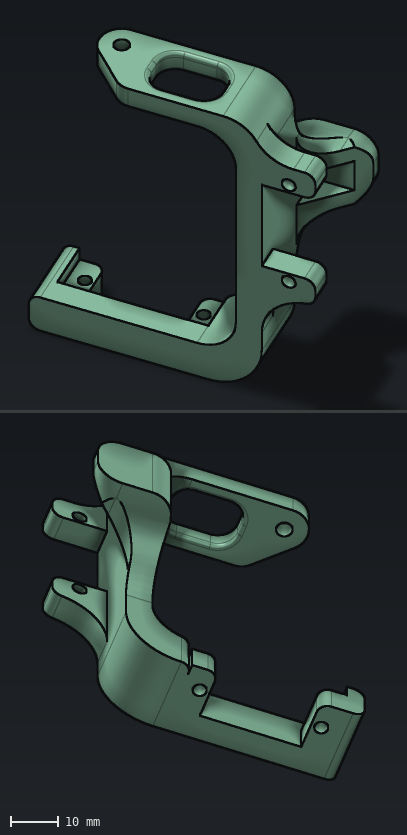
import cadquery as cq
import math

total_x = 66.4
total_y = 33.9
total_z = 76.1

wall = 6.0
wall_outer_x = 54.0
wall_inner_x = wall_outer_x - wall
frame_depth = 17.6
arm_height = 9.5
plate_thickness = 5.0
inner_radius = 9.0
lower_outer_radius = 12.55
upper_outer_radius = 9.0
plate_bottom_z = total_z - plate_thickness
bend_start_x = wall_inner_x - inner_radius

tab_round = 2.5
tab_hole_diameter = 3.2
tab_hole_x = 60.3
upper_tab_top = 66.75
upper_tab_bottom = 59.75
upper_tab_blend_radius = 10.0
upper_tab_hole_z = 61.9
lower_tab_top = 36.7
lower_tab_hole_z = 34.4
lower_tab_radius = 12.0
lower_tab_arc_z = 17.65

plate_end_radius = 5.25
plate_hole_diameter = 3.5
plate_hole_x = 16.2
nose_y = frame_depth - plate_end_radius
plate_corner_round = 4.7
window_x = 33.4
window_y = 8.9
window_length = 16.6
window_width = 11.5
window_corner = 4.4
window_round = 1.1

arm_depth = wall
arm_end_round = 2.7
lip_depth = 17.9
lip_length = 4.0
pad_length = 6.0
pad_height = 6.3
pad_round = 2.4
pad_hole_diameter = 3.0
pad_hole_y = 12.1
pad_hole_inset = 2.3

flange_mid_z = 43.0
flange_half_height = 7.6
flange_round = 5.6
clearance_round = 7.0
flange_arc_radius = total_y - frame_depth
bevel_offset = 35.55
clearance_half_height = 8.1
recess_height = 8.2


def block(x0, x1, y0, y1, z0, z1):
    return cq.Workplane("XY").box(x1 - x0, y1 - y0, z1 - z0, centered=False).translate((x0, y0, z0))


def extrude_back(profile, depth):
    """Extrude an XZ profile from y = 0 towards +Y."""
    return profile.extrude(-depth)


def make_frame():
    """Upright with its two bends and the top plate, at full frame depth."""
    outer = (
        block(bend_start_x, wall_outer_x, 0, frame_depth, 0, total_z)
        .edges("|Y and >X and <Z").fillet(lower_outer_radius)
        .edges("|Y and >X and >Z").fillet(upper_outer_radius)
    )
    opening = (
        block(0, wall_inner_x, 0, frame_depth, arm_height, plate_bottom_z)
        .edges("|Y and >X").fillet(inner_radius)
    )
    return outer.cut(opening).edges("|Z and <X and >Y").edges("<Z").fillet(pad_round)


def make_top_plate():
    """Pointed plate: a round nose, a 45 degree side and a rounded front corner."""
    reach = plate_end_radius * math.sqrt(0.5)
    front_corner_x = plate_hole_x + nose_y - plate_end_radius * math.sqrt(2)
    plate = (
        cq.Workplane("XY", origin=(0, 0, plate_bottom_z))
        .moveTo(plate_hole_x, frame_depth)
        .radiusArc((plate_hole_x - reach, nose_y - reach), -plate_end_radius)
        .lineTo(front_corner_x, 0)
        .lineTo(bend_start_x, 0)
        .lineTo(bend_start_x, frame_depth)
        .close()
        .extrude(plate_thickness)
    )
    plate_mid_z = plate_bottom_z + plate_thickness / 2
    front_corner = cq.selectors.NearestToPointSelector((front_corner_x, 0, plate_mid_z))
    return plate.edges(front_corner).fillet(plate_corner_round)


def cut_plate_openings(body):
    hole = (
        cq.Workplane("XY", origin=(plate_hole_x, nose_y, plate_bottom_z))
        .circle(plate_hole_diameter / 2).extrude(plate_thickness)
    )
    window = (
        block(-window_length / 2, window_length / 2, -window_width / 2, window_width / 2,
              total_z - 2 * plate_thickness, total_z)
        .edges("|Z").fillet(window_corner)
        .translate((window_x, window_y, 0))
    )
    body = body.cut(hole).cut(window)
    half_length = window_length / 2 + window_round / 2
    half_width = window_width / 2 + window_round / 2
    window_region = cq.selectors.BoxSelector(
        (window_x - half_length, window_y - half_width, plate_bottom_z - plate_thickness),
        (window_x + half_length, window_y + half_width, total_z + plate_thickness),
    )
    return body.edges(window_region).edges("not(|Z)").fillet(window_round)


def make_upper_tab():
    """Tab whose top blends into the upper bend by a tangent concave arc."""
    bend_x = wall_outer_x - upper_outer_radius
    bend_z = total_z - upper_outer_radius
    blend_z = upper_tab_top + upper_tab_blend_radius
    centre_gap = upper_outer_radius + upper_tab_blend_radius
    blend_x = bend_x + math.sqrt(centre_gap**2 - (blend_z - bend_z) ** 2)
    bend_share = upper_outer_radius / centre_gap
    tangent_point = (bend_x + bend_share * (blend_x - bend_x), bend_z + bend_share * (blend_z - bend_z))
    profile = (
        cq.Workplane("XZ")
        .moveTo(*tangent_point)
        .radiusArc((blend_x, upper_tab_top), -upper_tab_blend_radius)
        .lineTo(total_x, upper_tab_top)
        .lineTo(total_x, upper_tab_bottom)
        .lineTo(wall_outer_x - wall / 2, upper_tab_bottom)
        .close()
    )
    return extrude_back(profile, wall).edges("|Y and >X").fillet(tab_round)


def make_lower_tab():
    """Tab carried by a large concave arc that starts tangent to the upright."""
    arc_x = wall_outer_x + lower_tab_radius
    arc_top = lower_tab_arc_z + lower_tab_radius
    profile = (
        cq.Workplane("XZ")
        .moveTo(wall_outer_x, lower_tab_arc_z)
        .radiusArc((arc_x, arc_top), lower_tab_radius)
        .lineTo(total_x, arc_top)
        .lineTo(total_x, lower_tab_top)
        .lineTo(wall_inner_x, lower_tab_top)
        .lineTo(wall_inner_x, lower_tab_arc_z)
        .close()
    )
    return extrude_back(profile, wall).edges("|Y and >X").fillet(tab_round)


def make_pad(x, depth, rounded_side):
    """Screw pad behind the arm, with one rounded rear corner and a vertical hole."""
    hole_x = x + (pad_length - pad_hole_inset if rounded_side == ">X" else pad_hole_inset)
    hole = (
        cq.Workplane("XY", origin=(hole_x, pad_hole_y, 0))
        .circle(pad_hole_diameter / 2).extrude(pad_height)
    )
    pad = block(x, x + pad_length, 0, depth, 0, pad_height)
    return pad.edges("|Z and >Y").edges(rounded_side).fillet(pad_round).cut(hole)


def make_lower_arm():
    arm = block(0, bend_start_x, 0, arm_depth, 0, arm_height)
    lip = block(0, lip_length, 0, lip_depth, 0, arm_height)
    arm = arm.union(lip).edges("|Y and <X").fillet(arm_end_round)
    arm = arm.union(make_pad(lip_length, lip_depth, ">X"))
    return arm.union(make_pad(bend_start_x - pad_length, frame_depth, "<X"))


def make_flange():
    """Rear flange: waisted by two large arcs, bevelled at 45 degrees and recessed."""
    rear_top = flange_mid_z + flange_half_height
    rear_bottom = flange_mid_z - flange_half_height
    waist = (
        cq.Workplane("YZ", origin=(wall_inner_x, 0, 0))
        .moveTo(frame_depth, rear_top + flange_arc_radius)
        .radiusArc((total_y, rear_top), -flange_arc_radius)
        .lineTo(total_y, rear_bottom)
        .radiusArc((frame_depth, rear_bottom - flange_arc_radius), -flange_arc_radius)
        .hLine(-wall)
        .vLineTo(rear_top + flange_arc_radius)
        .close()
        .extrude(total_x - wall_inner_x)
    )
    flange = waist.edges("|Z and >Y and <X").fillet(wall)
    flange = flange.faces(">X").edges("not |Z").fillet(flange_round)

    bevel = (
        cq.Workplane("XY")
        .moveTo(wall_outer_x, wall_outer_x - bevel_offset)
        .lineTo(total_x, total_x - bevel_offset)
        .lineTo(total_x, 0)
        .lineTo(wall_outer_x, 0)
        .close()
        .extrude(total_z)
    )
    flange = flange.cut(bevel)

    clearance_top = flange_mid_z + clearance_half_height
    clearance_bottom = flange_mid_z - clearance_half_height
    for z0, z1, inner_edge in ((clearance_top, total_z, "<Z"), (0, clearance_bottom, ">Z")):
        clearance = block(wall_outer_x, total_x, 0, total_y, z0, z1)
        flange = flange.cut(clearance.edges("|Y and <X").edges(inner_edge).fillet(clearance_round))

    recess = block(wall_outer_x, total_x, 0, total_y - wall,
                   flange_mid_z - recess_height / 2, flange_mid_z + recess_height / 2)
    return flange.cut(recess)


body = make_frame().union(make_top_plate())
body = cut_plate_openings(body)
for section in (make_upper_tab(), make_lower_tab(), make_lower_arm(), make_flange()):
    body = body.union(section)
for hole_z in (upper_tab_hole_z, lower_tab_hole_z):
    hole_profile = cq.Workplane("XZ", origin=(tab_hole_x, 0, hole_z)).circle(tab_hole_diameter / 2)
    body = body.cut(extrude_back(hole_profile, wall))

result = body